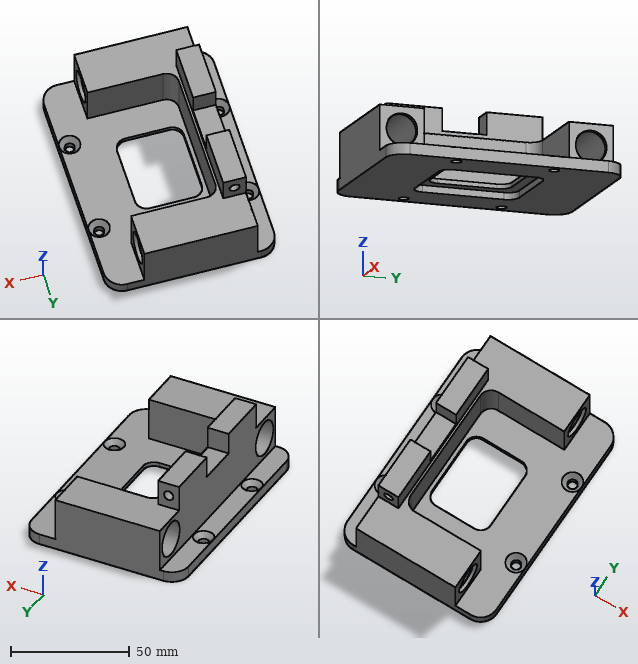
import cadquery as cq
import math

plate_length = 75.0
plate_width = 105
plate_thickness = 5.0
plate_corner_radius = 8.0

housing_start = 9.5
housing_length = 50.0
housing_top = 25.0
arm_width = 20.0
back_wall = 11.2
pocket_corner_radius = 5.5

lug_thickness = 10.1
lug_span = 70.0
lug_top = 37.0
notch_width = 20.0
notch_floor = 27.0

pin_diameter = 4.4
pin_depth = 15.0
pin_height = 31.0
drill_point_angle = 118

rod_diameter = 16.0
lip_diameter = 14.0
lip_length = 2.0
rod_height = 15.0
rod_offset = (plate_width - arm_width) / 2

window_start = 22.6
window_length = 29.4
window_width = 36.8
window_corner_radius = 5.0

rim_thickness = 2.0
rim_width = 5.0

screw_diameter = 4.4
sink_diameter = 9.1
sink_angle = 90
screw_edge_distance = 4.6
screw_spacing_y = 44.0


def block(start, length, width, bottom, top):
    """Box starting at X = start, centred on Y = 0."""
    return (
        cq.Workplane("XY")
        .box(length, width, top - bottom, centered=(False, True, False))
        .translate((start, 0, bottom))
    )


def make_plate():
    plate = block(0, plate_length, plate_width, 0, plate_thickness)
    return plate.edges("|Z").fillet(plate_corner_radius)


def make_housing():
    housing = block(housing_start, housing_length, plate_width, plate_thickness, housing_top)
    pocket = block(
        housing_start + back_wall, housing_length, plate_width - 2 * arm_width, plate_thickness, housing_top
    )
    return housing.cut(pocket.edges("|Z and <X").fillet(pocket_corner_radius))


def make_lugs():
    bar = block(housing_start, lug_thickness, lug_span, plate_thickness, lug_top)
    notch = block(housing_start, lug_thickness, notch_width, notch_floor, lug_top)
    return bar.cut(notch)


def rod_bore(y):
    bore_length = housing_length - lip_length
    plane = cq.Workplane("YZ", origin=(housing_start, y, rod_height))
    bore = plane.circle(rod_diameter / 2).extrude(bore_length)
    return bore.union(plane.circle(lip_diameter / 2).extrude(housing_length))


def pin_hole(side):
    """Drilled hole with a conical bottom; side is -1 or +1 along Y."""
    radius = pin_diameter / 2
    point_length = radius / math.tan(math.radians(drill_point_angle / 2))
    outer_end = side * lug_span / 2
    shoulder = outer_end - side * pin_depth
    tip = shoulder - side * point_length
    profile = [(0, outer_end), (radius, outer_end), (radius, shoulder), (0, tip)]
    return (
        cq.Workplane("XY")
        .polyline(profile)
        .close()
        .revolve(360, (0, 0, 0), (0, 1, 0))
        .translate((housing_start + lug_thickness / 2, 0, pin_height))
    )


def make_window():
    window = block(window_start, window_length, window_width, 0, plate_thickness)
    return window.edges("|Z").fillet(window_corner_radius)


def make_recess():
    recess = block(
        window_start - rim_width,
        window_length + 2 * rim_width,
        window_width + 2 * rim_width,
        0,
        plate_thickness - rim_thickness,
    )
    return recess.edges("|Z").fillet(window_corner_radius)


def make_drilled_plate():
    return (
        make_plate()
        .cut(make_window())
        .cut(make_recess())
        .faces(">Z")
        .workplane(origin=(plate_length / 2, 0, plate_thickness))
        .rarray(plate_length - 2 * screw_edge_distance, screw_spacing_y, 2, 2)
        .cskHole(screw_diameter, sink_diameter, sink_angle)
    )


result = make_drilled_plate().union(make_housing()).union(make_lugs())
for side in (-1, 1):
    result = result.cut(rod_bore(side * rod_offset)).cut(pin_hole(side))